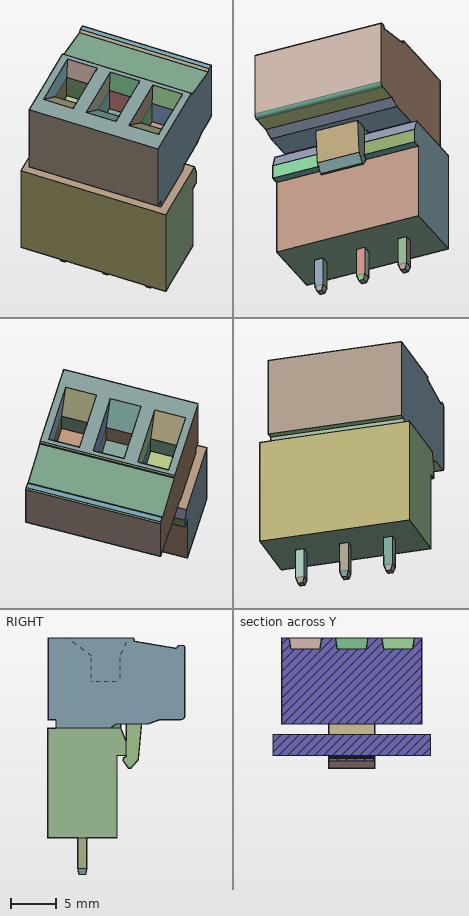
import cadquery as cq
import math


pole_count = 3
pole_pitch = 5.08

header_width = 17.25
header_depth = 7.61
header_bottom = 4.01
header_top = 16.03
lip_depth = 8.6
lip_bottom = 13.0
lip_bevel_start = 14.6
lip_top_depth = 8.03

pin_size = 1.0
pin_tip_width = 0.57
pin_tip_depth = 0.75
pin_tip_height = 0.65
pin_y = header_depth / 2

plug_width = 15.33
plug_front = 0.08
plug_rear = 15.05
plug_top = 25.9
plug_bottom = 16.95
neck_front = 0.9
belly_bottom = 16.47
belly_front = 7.5
belly_rear = 11.0
belly_ramp_start = 12.3
neck_rear = 6.9

roof_step = 9.5
step_chamfer = 0.15
roof_high = 25.55
roof_low = 24.75
roof_end = 14.1
ridge_front = 14.32
ridge_top = 25.07
ridge_chamfer = 0.15
rear_round = 0.47

mouth_width = 3.52
mouth_front = 2.15
mouth_rear = 8.85
mouth_depth = 1.92
shaft_width = 2.95
shaft_front = 4.75
shaft_rear = 7.95
shaft_depth = 2.85

latch_width = pole_pitch
arm_root_rear = 10.3
arm_end_rear = 9.95
arm_end_z = 12.55
tip_z = 11.63
tip_rear = 9.12
tip_front = 8.85
barb_front = 8.24
barb_z = 12.48
barb_shoulder_front = 8.35
barb_shoulder_z = 12.82
barb_top = 12.9


def side_sketch(width):
    """Start a (Y, Z) outline that extrudes to a width centred on X = 0."""
    return cq.Workplane("YZ", origin=(-width / 2, 0, 0))


def centred_rectangle(x, front, rear, z, width):
    """Closed horizontal rectangle centred on x, from front to rear."""
    corners = [
        (x - width / 2, front, z),
        (x + width / 2, front, z),
        (x + width / 2, rear, z),
        (x - width / 2, rear, z),
    ]
    return cq.Wire.makePolygon([cq.Vector(*corner) for corner in corners], close=True)


def tapered_block(lower, upper):
    """Solid with straight sides between two rectangles."""
    return cq.Workplane(cq.Solid.makeLoft([lower, upper], True))


def make_header():
    return (
        side_sketch(header_width)
        .moveTo(0, header_bottom)
        .lineTo(header_depth, header_bottom)
        .lineTo(header_depth, lip_bottom)
        .lineTo(lip_depth, lip_bottom)
        .lineTo(lip_depth, lip_bevel_start)
        .lineTo(lip_top_depth, header_top)
        .lineTo(0, header_top)
        .close()
        .extrude(header_width)
    )


def make_pin(x):
    shank = cq.Workplane("XY", origin=(x, pin_y, pin_tip_height)).rect(pin_size, pin_size)
    shank = shank.extrude(header_bottom - pin_tip_height)
    tip_front_y = pin_y - pin_tip_depth / 2
    tip_rear_y = pin_y + pin_tip_depth / 2
    tip_end = centred_rectangle(x, tip_front_y, tip_rear_y, 0, pin_tip_width)
    tip_base = centred_rectangle(
        x, pin_y - pin_size / 2, pin_y + pin_size / 2, pin_tip_height, pin_size
    )
    return shank.union(tapered_block(tip_end, tip_base))


def make_plug_body():
    round_inset = rear_round * (1 - math.sqrt(0.5))
    return (
        side_sketch(plug_width)
        .moveTo(neck_front, header_top)
        .lineTo(neck_front, plug_bottom)
        .lineTo(plug_front, plug_bottom)
        .lineTo(plug_front, plug_top)
        .lineTo(roof_step - step_chamfer, plug_top)
        .lineTo(roof_step, plug_top - step_chamfer)
        .lineTo(roof_step, roof_high)
        .lineTo(roof_end, roof_low)
        .lineTo(ridge_front, ridge_top)
        .lineTo(plug_rear - ridge_chamfer, ridge_top)
        .lineTo(plug_rear, ridge_top - ridge_chamfer)
        .lineTo(plug_rear, plug_bottom + rear_round)
        .threePointArc(
            (plug_rear - round_inset, plug_bottom + round_inset),
            (plug_rear - rear_round, plug_bottom),
        )
        .lineTo(belly_ramp_start, plug_bottom)
        .lineTo(belly_rear, belly_bottom)
        .lineTo(belly_front, belly_bottom)
        .lineTo(neck_rear, header_top)
        .close()
        .extrude(plug_width)
    )


def make_wire_opening(x):
    shaft_top = plug_top - mouth_depth
    throat = centred_rectangle(x, shaft_front, shaft_rear, shaft_top, shaft_width)
    rim = centred_rectangle(x, mouth_front, mouth_rear, plug_top, mouth_width)
    shaft_centre = (x, (shaft_front + shaft_rear) / 2, shaft_top)
    shaft = (
        cq.Workplane("XY", origin=shaft_centre)
        .rect(shaft_width, shaft_rear - shaft_front)
        .extrude(-shaft_depth)
    )
    return tapered_block(throat, rim).union(shaft)


def make_latch():
    outline = [
        (lip_depth, belly_bottom),
        (arm_root_rear, belly_bottom),
        (arm_end_rear, arm_end_z),
        (tip_rear, tip_z),
        (tip_front, tip_z),
        (barb_front, barb_z),
        (barb_shoulder_front, barb_shoulder_z),
        (lip_depth, barb_top),
    ]
    return side_sketch(latch_width).polyline(outline).close().extrude(latch_width)


def make_neck_filler():
    """Block closing the gap between plug belly and header, ahead of the latch."""
    outline = [
        (neck_rear, header_top),
        (lip_top_depth, header_top),
        (lip_top_depth, belly_bottom),
        (neck_rear, belly_bottom),
    ]
    return side_sketch(latch_width).polyline(outline).close().extrude(latch_width)


pole_positions = [(i - (pole_count - 1) / 2) * pole_pitch for i in range(pole_count)]

plug = make_plug_body()
for pole_x in pole_positions:
    plug = plug.cut(make_wire_opening(pole_x))

result = make_header().union(plug).union(make_neck_filler()).union(make_latch())
for pole_x in pole_positions:
    result = result.union(make_pin(pole_x))